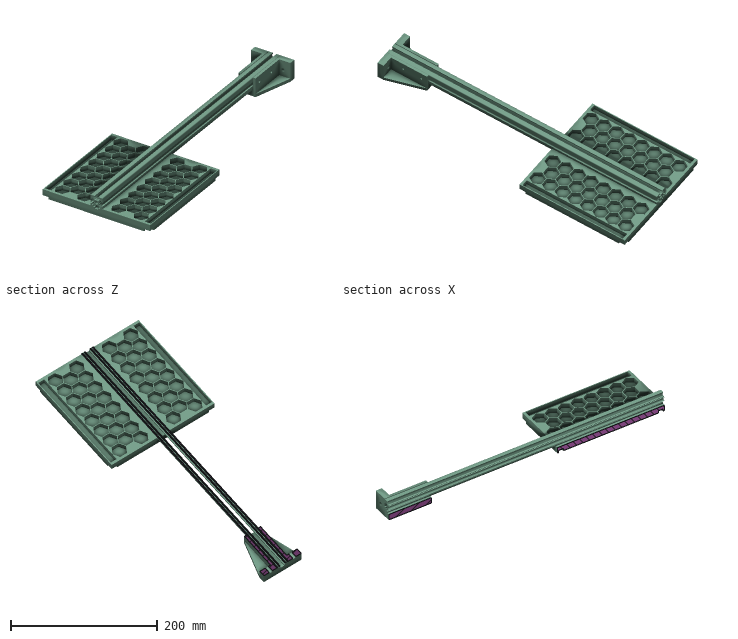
import cadquery as cq
import math

total_height = 30.0

rail_length = 450.0
rail_size = 20.0
rail_half = rail_size / 2
rail_axis_z = total_height - rail_half
rail_bottom_z = total_height - rail_size
rail_corner_radius = 1.5
slot_opening = 6.0
slot_lip = 2.2
slot_inner_width = 11.0
core_width = 8.0
web_thickness = 1.5
core_hole_diameter = 5.0
floor_groove_width = 1.4
floor_groove_depth = 0.5

plate_size = 175.0
plate_thickness = 13.0
pocket_depth = 8.0
pocket_floor_z = plate_thickness - pocket_depth
hex_across_flats = 20.0
hex_pitch = 21.0
hex_group_x = 46.0
hex_outer_rows = 8
hex_middle_rows = 7
trough_width = 10.2
trough_rim = 1.3
trough_end_margin = 4.0
underside_relief_depth = 3.6
corner_notch_size = 9.7
underside_lip = 2.7

bracket_width = 64.0
bracket_length = 70.0
bracket_flange_thickness = 10.0
bracket_wall_thickness = 4.0
bracket_floor_thickness = 5.0
flange_hole_spacing = 40.0
flange_hole_diameter = 5.0
wall_hole_diameter = 4.0
wall_hole_distances = (30.0, 60.0)


def box(x_range, y_range, z_range):
    """Axis-aligned block between the given limits."""
    (x0, x1), (y0, y1), (z0, z1) = x_range, y_range, z_range
    return cq.Workplane("XY").box(x1 - x0, y1 - y0, z1 - z0, centered=False).translate((x0, y0, z0))


def rail_slot():
    """T-slot in the top side of the rail, as a cutter; the rail axis is the Y axis."""
    opening_half = slot_opening / 2
    inner_half = slot_inner_width / 2
    lip_z = rail_half - slot_lip
    core_half = core_width / 2
    groove_half = floor_groove_width / 2
    web_offset = web_thickness / 2 * math.sqrt(2)
    right_side = [
        (groove_half, core_half - floor_groove_depth),
        (groove_half, core_half),
        (core_half - web_offset, core_half),
        (inner_half, inner_half + web_offset),
        (inner_half, lip_z),
        (opening_half, lip_z),
        (opening_half, rail_half),
    ]
    left_side = [(-x, z) for x, z in reversed(right_side)]
    profile = cq.Workplane("XZ").polyline(right_side + left_side).close()
    return profile.extrude(-rail_length)


def make_rail():
    rail = cq.Workplane("XZ").rect(rail_size, rail_size).extrude(-rail_length)
    rail = rail.edges("|Y").fillet(rail_corner_radius)
    for quarter_turn in range(4):
        rail = rail.cut(rail_slot().rotate((0, 0, 0), (0, 1, 0), 90 * quarter_turn))
    core_hole = cq.Workplane("XZ").circle(core_hole_diameter / 2).extrude(-rail_length)
    return rail.cut(core_hole).translate((0, 0, rail_axis_z))


def hex_pocket_centres():
    """Staggered honeycomb of three columns on each side of the rail."""
    column_pitch = hex_pitch * math.sqrt(3) / 2
    columns = [(-1, hex_outer_rows), (0, hex_middle_rows), (1, hex_outer_rows)]
    return [
        (side * hex_group_x + column * column_pitch, plate_size / 2 + (row - (rows - 1) / 2) * hex_pitch)
        for side in (-1, 1)
        for column, rows in columns
        for row in range(rows)
    ]


def hex_pockets():
    hex_corner_diameter = hex_across_flats * 2 / math.sqrt(3)
    return (
        cq.Workplane("XY", origin=(0, 0, pocket_floor_z))
        .pushPoints(hex_pocket_centres())
        .polygon(6, hex_corner_diameter)
        .extrude(pocket_depth)
    )


def edge_trough():
    """Long pocket beside the right-hand rim of the plate."""
    outer_x = plate_size / 2 - trough_rim
    y_range = (trough_end_margin, plate_size - trough_end_margin)
    return box((outer_x - trough_width, outer_x), y_range, (pocket_floor_z, plate_thickness))


def underside_grooves():
    """Four grooves in the underside, one behind a thin lip along each edge, open at both ends."""
    half = plate_size / 2
    groove_width = corner_notch_size - underside_lip
    groove_y = half - underside_lip - groove_width / 2
    groove = cq.Workplane("XY").rect(plate_size, groove_width).extrude(underside_relief_depth)
    groove = groove.translate((0, groove_y, 0))
    return [groove.rotate((0, 0, 0), (0, 0, 1), 90 * turn).translate((0, half, 0)) for turn in range(4)]


def corner_notches():
    """Square notches in the underside that end the lips short of the plate corners."""
    return (
        cq.Workplane("XY", origin=(0, plate_size / 2, 0))
        .rect(plate_size, plate_size, forConstruction=True)
        .vertices()
        .rect(2 * corner_notch_size, 2 * corner_notch_size)
        .extrude(underside_relief_depth)
    )


def make_plate():
    half = plate_size / 2
    plate = box((-half, half), (0, plate_size), (0, plate_thickness))
    plate = plate.cut(box((-rail_half, rail_half), (0, plate_size), (rail_bottom_z, plate_thickness)))
    plate = plate.cut(hex_pockets())
    plate = plate.cut(edge_trough()).cut(edge_trough().mirror("YZ"))
    for groove in underside_grooves():
        plate = plate.cut(groove)
    return plate.cut(corner_notches())


def make_bracket():
    half = bracket_width / 2
    wall_x = rail_half + bracket_wall_thickness
    rear_y = rail_length
    front_y = rear_y - bracket_length
    flange_y = rear_y - bracket_flange_thickness

    flange = box((-half, half), (flange_y, rear_y), (0, total_height))
    sleeve = box((-wall_x, wall_x), (front_y, rear_y), (0, total_height))
    gusset_outline = [(-wall_x, front_y), (wall_x, front_y), (half, flange_y), (-half, flange_y)]
    gusset = cq.Workplane("XY").polyline(gusset_outline).close().extrude(bracket_floor_thickness)
    bracket = flange.union(sleeve).union(gusset)

    bracket = bracket.cut(box((-rail_half, rail_half), (front_y, rear_y), (rail_bottom_z, total_height)))
    flange_holes = (
        cq.Workplane("XZ", origin=(0, flange_y, total_height / 2))
        .pushPoints([(-flange_hole_spacing / 2, 0), (flange_hole_spacing / 2, 0)])
        .circle(flange_hole_diameter / 2)
        .extrude(-bracket_flange_thickness)
    )
    wall_holes = (
        cq.Workplane("YZ", origin=(0, rear_y, rail_axis_z))
        .pushPoints([(-distance, 0) for distance in wall_hole_distances])
        .circle(wall_hole_diameter / 2)
        .extrude(wall_x, both=True)
    )
    return bracket.cut(flange_holes).cut(wall_holes)


rail = make_rail()
plate = make_plate()
bracket = make_bracket()

result = cq.Compound.makeCompound([rail.val(), plate.val(), bracket.val()])